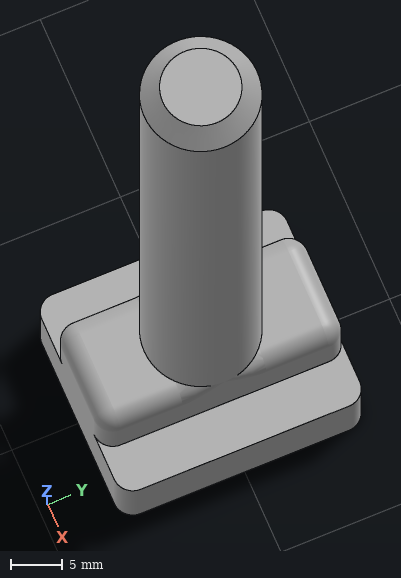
import math

import cadquery as cq

total_height = 82.0
base_width = 22.0
base_length = 26.0
base_height = 7.0

stud_diameter = 12.0
stud_radius = stud_diameter / 2
stud_chamfer = 2.0

rib_top = 13.0
rib_side = stud_radius
edge_radius = 2.0

rounding_inner = rib_side - edge_radius
rounding_bottom = rib_top - edge_radius
runout_length = math.sqrt(stud_radius**2 - rounding_inner**2)
runout_control = 2.6


def rounded_block(height, width, edges):
    """Full-length block on Z = 0 with the selected edges rounded."""
    block = cq.Workplane("XY").rect(width, base_length).extrude(height)
    return block.edges(edges).fillet(edge_radius)


def runout_quarter():
    """Quarter (+X, +Y) of the rib's middle stretch, with its run-out beside the stud."""
    apex = cq.Vector(rib_side, 0, rib_top)
    inner = cq.Vector(rounding_inner, runout_length, rib_top)
    low = cq.Vector(rib_side, runout_length, rounding_bottom)
    centre_top = cq.Vector(0, 0, rib_top)
    end_top = cq.Vector(0, runout_length, rib_top)
    centre_floor = cq.Vector(0, 0, 0)
    side_floor = cq.Vector(rib_side, 0, 0)
    corner_floor = cq.Vector(rib_side, runout_length, 0)
    end_floor = cq.Vector(0, runout_length, 0)

    mid_angle = math.atan2(runout_length, rounding_inner) / 2
    stud_mid = cq.Vector(stud_radius * math.cos(mid_angle), stud_radius * math.sin(mid_angle), rib_top)
    round_mid = cq.Vector(
        rounding_inner + edge_radius * math.cos(math.pi / 4),
        runout_length,
        rounding_bottom + edge_radius * math.sin(math.pi / 4),
    )
    control = cq.Vector(rib_side, runout_control, rounding_bottom)

    stud_arc = cq.Edge.makeThreePointArc(apex, stud_mid, inner)
    round_arc = cq.Edge.makeThreePointArc(inner, round_mid, low)
    side_curve = cq.Edge.makeBezier([apex, control, low])

    line = cq.Edge.makeLine
    top_x = line(centre_top, apex)
    top_y = line(end_top, centre_top)
    top_end = line(inner, end_top)
    floor_x = line(centre_floor, side_floor)
    floor_side = line(side_floor, corner_floor)
    floor_end = line(corner_floor, end_floor)
    floor_y = line(end_floor, centre_floor)
    post_centre = line(centre_floor, centre_top)
    post_side = line(side_floor, apex)
    post_corner = line(corner_floor, low)
    post_end = line(end_floor, end_top)

    flat_borders = [
        [top_x, stud_arc, top_end, top_y],
        [floor_x, floor_side, floor_end, floor_y],
        [floor_x, post_side, top_x, post_centre],
        [floor_side, post_corner, side_curve, post_side],
        [floor_end, post_end, top_end, round_arc, post_corner],
        [floor_y, post_centre, top_y, post_end],
    ]
    faces = [cq.Face.makeFromWires(cq.Wire.assembleEdges(border)) for border in flat_borders]
    faces.append(cq.Face.makeNSidedSurface([stud_arc, round_arc, side_curve], []))
    return cq.Workplane(cq.Solid.makeSolid(cq.Shell.makeShell(faces)).fix())


base = rounded_block(base_height, base_width, "|Z")

rib = rounded_block(rib_top, 2 * rib_side, "|Z or >Z")
rib = rib.cut(cq.Workplane("XY").rect(2 * rib_side, 2 * runout_length).extrude(rib_top))

quarter = runout_quarter()
rib_half = quarter.union(quarter.mirror("XZ"))
rib_middle = rib_half.union(rib_half.mirror("YZ"))

stud = (
    cq.Workplane("XY", origin=(0, 0, rib_top))
    .circle(stud_radius)
    .extrude(total_height - rib_top)
    .faces(">Z")
    .chamfer(stud_chamfer)
)

result = base.union(rib).union(rib_middle).union(stud)